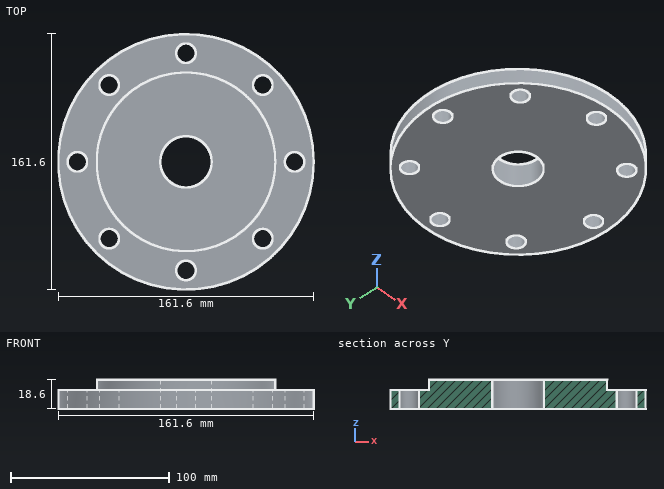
import cadquery as cq

flange_diameter = 161.63
flange_thickness = 12.2
total_height = 18.6
raised_face_diameter = 113.0
bore_diameter = 32.3
bolt_circle_diameter = 137.3
bolt_hole_diameter = 12.2
bolt_hole_count = 8

raised_face_height = total_height - flange_thickness


def make_flange():
    """Round plate resting on Z = 0 with a concentric raised face on top."""
    plate = cq.Workplane("XY").circle(flange_diameter / 2).extrude(flange_thickness)
    return (
        plate.faces(">Z")
        .workplane()
        .circle(raised_face_diameter / 2)
        .extrude(raised_face_height)
    )


def make_bore():
    """Central through hole."""
    return cq.Workplane("XY").circle(bore_diameter / 2).extrude(total_height)


def make_bolt_holes():
    """Through holes spaced evenly on the bolt circle, the first one on +X."""
    return (
        cq.Workplane("XY")
        .polarArray(bolt_circle_diameter / 2, 0, 360, bolt_hole_count)
        .circle(bolt_hole_diameter / 2)
        .extrude(flange_thickness)
    )


result = make_flange().cut(make_bore()).cut(make_bolt_holes())